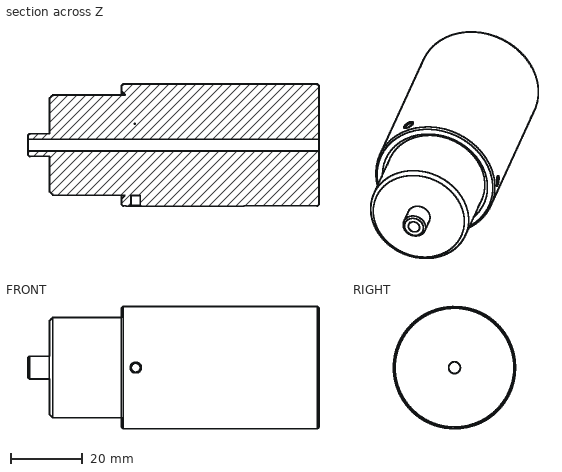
import cadquery as cq
total_length = 81.0
stem_length = 6.0
sleeve_start = 26.0

sleeve_diameter = 34.0
body_diameter = 28.0
stem_diameter = 6.4
bore_diameter = 3.2

stem_chamfer = 0.5
body_chamfer = 1.0
sleeve_chamfer = 0.5
mouth_chamfer = 1.0

screw_count = 3
screw_diameter = 2.5
screw_rim_chamfer = 0.3
screw_x = sleeve_start + 4.0

sleeve_radius = sleeve_diameter / 2
body_radius = body_diameter / 2
stem_radius = stem_diameter / 2
screw_radius = screw_diameter / 2


def turned_body():
    """Revolve the stepped half profile (x, radius) about the X axis."""
    profile = (
        cq.Workplane("XY")
        .moveTo(0, 0)
        .lineTo(0, stem_radius - stem_chamfer)
        .lineTo(stem_chamfer, stem_radius)
        .lineTo(stem_length, stem_radius)
        .lineTo(stem_length, body_radius - body_chamfer)
        .lineTo(stem_length + body_chamfer, body_radius)
        .lineTo(sleeve_start + mouth_chamfer, body_radius)
        .lineTo(sleeve_start, body_radius + mouth_chamfer)
        .lineTo(sleeve_start, sleeve_radius - sleeve_chamfer)
        .lineTo(sleeve_start + sleeve_chamfer, sleeve_radius)
        .lineTo(total_length - sleeve_chamfer, sleeve_radius)
        .lineTo(total_length, sleeve_radius - sleeve_chamfer)
        .lineTo(total_length, 0)
        .close()
    )
    return profile.revolve(360, (0, 0, 0), (1, 0, 0))


def through_bore():
    """Axial bore running the whole length of the part."""
    return cq.Workplane("YZ").circle(bore_diameter / 2).extrude(total_length)


def screw_hole():
    """Hole on the -Y side, from the body surface out, with a countersunk rim."""
    rim_bottom = screw_rim_chamfer - sleeve_radius
    rim_top = -sleeve_radius - screw_rim_chamfer
    rim_flare = 2 * screw_rim_chamfer
    profile = (
        cq.Workplane("XY")
        .moveTo(screw_x, -body_radius)
        .lineTo(screw_x + screw_radius, -body_radius)
        .lineTo(screw_x + screw_radius, rim_bottom)
        .lineTo(screw_x + screw_radius + rim_flare, rim_top)
        .lineTo(screw_x, rim_top)
        .close()
    )
    return profile.revolve(360, (screw_x, 0, 0), (screw_x, -1, 0))


result = turned_body().cut(through_bore())
for index in range(screw_count):
    angle = index * 360 / screw_count
    result = result.cut(screw_hole().rotate((0, 0, 0), (1, 0, 0), angle))